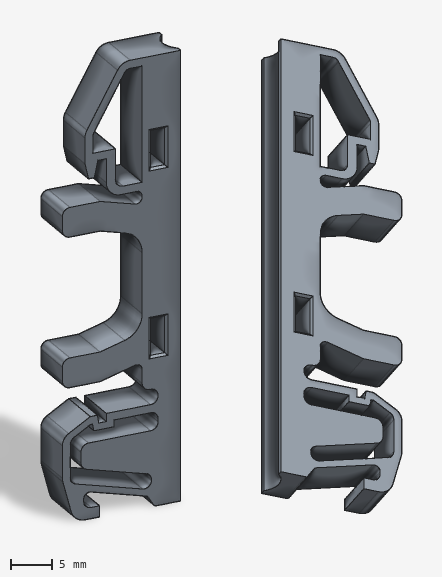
import cadquery as cq
import math


WIDTH = 6.0
HEIGHT = 60.0
DEPTH = 16.0
MID_HEIGHT = HEIGHT / 2

SPINE = 5.2
WALL = 1.1
SLOPE = math.tan(math.radians(15))
STEEP = math.tan(math.radians(60))
SHALLOW = 1 / STEEP
SHARP = 0.0
TOUCHING = 0.0005
SMALL_ROUND = 1.0
BIG_ROUND = 2.0

LATCH_DEPTH = 12.95
LATCH_TOP_DEPTH = 8.0
LATCH_BOTTOM = 42.35
LATCH_STEP = 10.1
LATCH_STEP_WALL = 1.25
LATCH_SHELF = 47.5
HOOK_BACK = 11.2
HOOK_TIP_BACK = 11.7
HOOK_TIP_FRONT = 12.5
HOOK_TIP = 45.3
HOOK_SHOULDER = 47.4

FINGER_GAP = 16.1
FINGER_THICKNESS = 3.95
FINGER_BEND = 10.9
FINGER_ROOT_ROUND = 3.2
FINGER_SLOT_ROUND = 0.8
FINGER_INNER = FINGER_GAP / 2
FINGER_OUTER = FINGER_INNER + FINGER_THICKNESS

SLOT_DEPTH = 3.05
SLOT_ROUND = 1.0
CLIP_TOP = 13.6
SLOT_TOP = CLIP_TOP + 2 * SLOT_ROUND
NOTCH_BACK = 10.1
NOTCH_FRONT = 11.1
NOTCH_LEAN = 0.2
NOTCH_DROP = 1.1
CLIP_SHOULDER = 12.25
CLIP_SHOULDER_ROUND = 1.7
CLIP_FRONT_BOTTOM = 5.9
FOOT_BACK = 11.0
FOOT_HEIGHT = 1.5
FOOT_SLOT_FRONT = 13.15
FOOT_SLOT_TOP_ROUND = 0.8
SPINE_FOOT = 3.55
SPINE_FOOT_TOP = 4.5
SPINE_FOOT_ROUND = 0.5

TONGUE_DEPTH = 13.5
TONGUE_TOP = 10.15
TONGUE_BOTTOM = 6.9
LOOP_LOW_BACK = 3.95
LOOP_LOW_ROUND = 0.95
LOOP_FLOOR = 5.2
LOOP_RIB_BACK = 9.0
LOOP_RIB_FRONT = 11.75
LOOP_RIB_DROP = 0.9

WINDOW_DEPTH = 2.5
WINDOW_HEIGHT = 5.5
WINDOW_MID_DEPTH = 3.0
WINDOW_HEIGHTS = (22.5, 47.5)
WINDOW_CHAMFER = 0.3
GROOVE_RADIUS = 3.0
GROOVE_DROP = 1.0


def corner_tangents(before, corner, after):
    """Return the start, middle and end of the arc rounding one corner."""
    radius = corner[2]
    here = cq.Vector(corner[0], corner[1])
    to_before = (cq.Vector(before[0], before[1]) - here).normalized()
    to_after = (cq.Vector(after[0], after[1]) - here).normalized()
    half_angle = to_before.getAngle(to_after) / 2
    setback = radius / math.tan(half_angle)
    to_centre = (to_before + to_after).normalized()
    middle = here + to_centre * (radius / math.sin(half_angle) - radius)
    return here + to_before * setback, middle, here + to_after * setback


def prism(corners):
    """Extrude a closed profile of (depth, height, radius) corners across the width."""
    profile = cq.Workplane("YZ", origin=(-WIDTH / 2, 0, 0))
    last = None
    for index, corner in enumerate(corners):
        if corner[2] == SHARP:
            arc = [cq.Vector(corner[0], corner[1])]
        else:
            arc = corner_tangents(corners[index - 1], corner, corners[(index + 1) % len(corners)])
        points = [(-point.x, point.y) for point in arc]
        if last is None:
            profile = profile.moveTo(*points[0])
        elif math.dist(last, points[0]) > TOUCHING:
            profile = profile.lineTo(*points[0])
        if len(points) > 1:
            profile = profile.threePointArc(points[1], points[2])
        last = points[-1]
    return profile.close().extrude(WIDTH)


def latch_corners():
    """Outside of the upper latch, from the top back edge down to its underside."""
    front_top = HEIGHT - (LATCH_DEPTH - LATCH_TOP_DEPTH) * STEEP
    return [
        (0, HEIGHT, SHARP),
        (LATCH_TOP_DEPTH, HEIGHT, BIG_ROUND),
        (LATCH_DEPTH, front_top, BIG_ROUND),
        (LATCH_DEPTH, HOOK_SHOULDER, SHARP),
        (HOOK_TIP_FRONT, HOOK_TIP, SHARP),
        (HOOK_TIP_BACK, HOOK_TIP, SHARP),
        (HOOK_BACK, LATCH_SHELF, SHARP),
        (LATCH_STEP, LATCH_SHELF, SHARP),
        (LATCH_STEP, LATCH_BOTTOM, BIG_ROUND),
        (SPINE, LATCH_BOTTOM, FINGER_SLOT_ROUND),
    ]


def finger_corners(side):
    """One finger from its outer root to its inner root; side is +1 above mid height, -1 below."""
    root_drop = (FINGER_BEND - SPINE) * SLOPE
    offsets = [
        (SPINE, FINGER_OUTER - root_drop, FINGER_SLOT_ROUND),
        (FINGER_BEND, FINGER_OUTER, SHARP),
        (DEPTH, FINGER_OUTER, SMALL_ROUND),
        (DEPTH, FINGER_INNER, SMALL_ROUND),
        (FINGER_BEND, FINGER_INNER, SHARP),
        (SPINE, FINGER_INNER - root_drop, FINGER_ROOT_ROUND),
    ]
    return [(depth, MID_HEIGHT + side * offset, radius) for depth, offset, radius in offsets]


def clip_corners():
    """Outside of the lower clip, from the slot above it down to the bottom back edge."""
    shoulder_bottom = CLIP_TOP - (DEPTH - CLIP_SHOULDER) * SHALLOW
    arm_front = FOOT_HEIGHT + (FOOT_SLOT_FRONT - SPINE_FOOT_TOP) * SLOPE
    return [
        (SPINE, SLOT_TOP, SMALL_ROUND),
        (SLOT_DEPTH, SLOT_TOP, SLOT_ROUND),
        (SLOT_DEPTH, CLIP_TOP, SLOT_ROUND),
        (NOTCH_BACK, CLIP_TOP, SHARP),
        (NOTCH_BACK, CLIP_TOP - NOTCH_DROP, SHARP),
        (NOTCH_FRONT, CLIP_TOP - NOTCH_DROP, SHARP),
        (NOTCH_FRONT + NOTCH_LEAN, CLIP_TOP, SHARP),
        (CLIP_SHOULDER, CLIP_TOP, SHARP),
        (DEPTH, shoulder_bottom, CLIP_SHOULDER_ROUND),
        (DEPTH, CLIP_FRONT_BOTTOM, BIG_ROUND),
        (DEPTH - CLIP_FRONT_BOTTOM * SLOPE, 0, BIG_ROUND),
        (FOOT_BACK, 0, SHARP),
        (FOOT_BACK, FOOT_HEIGHT, SHARP),
        (FOOT_SLOT_FRONT, FOOT_HEIGHT, SMALL_ROUND),
        (FOOT_SLOT_FRONT, arm_front, FOOT_SLOT_TOP_ROUND),
        (SPINE_FOOT_TOP, FOOT_HEIGHT, SPINE_FOOT_ROUND),
        (SPINE_FOOT, 0, SPINE_FOOT_ROUND),
        (0, 0, SHARP),
    ]


def latch_opening():
    """Opening inside the upper latch, one wall thickness in from its outside."""
    top = HEIGHT - WALL
    front = LATCH_DEPTH - WALL
    top_depth = LATCH_TOP_DEPTH - WALL * SHALLOW
    front_top = top - (front - top_depth) * STEEP
    step = LATCH_STEP - LATCH_STEP_WALL
    return prism([
        (SPINE, top, SHARP),
        (top_depth, top, BIG_ROUND - WALL),
        (front, front_top, BIG_ROUND - WALL),
        (front, LATCH_SHELF + WALL, SHARP),
        (step, LATCH_SHELF + WALL, SHARP),
        (step, LATCH_BOTTOM + WALL, SMALL_ROUND),
        (SPINE, LATCH_BOTTOM + WALL, SHARP),
    ])


def clip_opening():
    """Opening inside the lower clip, wrapping around the tongue."""
    top = CLIP_TOP - WALL
    front = DEPTH - WALL
    shoulder_bottom = top - (front - CLIP_SHOULDER) * SHALLOW
    floor_back = LOOP_FLOOR - (front - LOOP_LOW_BACK) * SLOPE
    tongue_back = TONGUE_BOTTOM - (TONGUE_DEPTH - LOOP_LOW_BACK) * SLOPE
    return prism([
        (SLOT_DEPTH, top, SMALL_ROUND),
        (LOOP_RIB_BACK, top, SHARP),
        (LOOP_RIB_BACK, top - LOOP_RIB_DROP, SHARP),
        (LOOP_RIB_FRONT, top - LOOP_RIB_DROP, SHARP),
        (LOOP_RIB_FRONT + NOTCH_LEAN, top, SHARP),
        (CLIP_SHOULDER, top, SHARP),
        (front, shoulder_bottom, SMALL_ROUND),
        (front, LOOP_FLOOR, SMALL_ROUND),
        (LOOP_LOW_BACK, floor_back, LOOP_LOW_ROUND),
        (LOOP_LOW_BACK, tongue_back, LOOP_LOW_ROUND),
        (TONGUE_DEPTH, TONGUE_BOTTOM, SMALL_ROUND),
        (TONGUE_DEPTH, TONGUE_TOP, SMALL_ROUND),
        (SLOT_DEPTH, TONGUE_TOP, SMALL_ROUND),
    ])


def window(mid_height):
    """Rectangular window through the spine, flared by a chamfer at both faces."""
    opening = cq.Workplane("XY").box(
        WIDTH, WINDOW_DEPTH - 2 * WINDOW_CHAMFER, WINDOW_HEIGHT - 2 * WINDOW_CHAMFER
    )
    for direction in (1, -1):
        flare = (
            cq.Workplane("YZ", origin=(direction * WIDTH / 2, 0, 0))
            .rect(WINDOW_DEPTH, WINDOW_HEIGHT)
            .workplane(offset=-direction * WINDOW_CHAMFER)
            .rect(WINDOW_DEPTH - 2 * WINDOW_CHAMFER, WINDOW_HEIGHT - 2 * WINDOW_CHAMFER)
            .loft()
        )
        opening = opening.union(flare)
    return opening.translate((0, -WINDOW_MID_DEPTH, mid_height))


def back_groove():
    """Round groove running the full height of the back."""
    return (
        cq.Workplane("XY")
        .center(0, GROOVE_RADIUS - GROOVE_DROP)
        .circle(GROOVE_RADIUS)
        .extrude(HEIGHT)
    )


upper_finger = finger_corners(1)
lower_finger = finger_corners(-1)[::-1]
body = prism(latch_corners() + upper_finger + lower_finger + clip_corners())
body = body.cut(latch_opening()).cut(clip_opening()).cut(back_groove())
for window_height in WINDOW_HEIGHTS:
    body = body.cut(window(window_height))

result = body